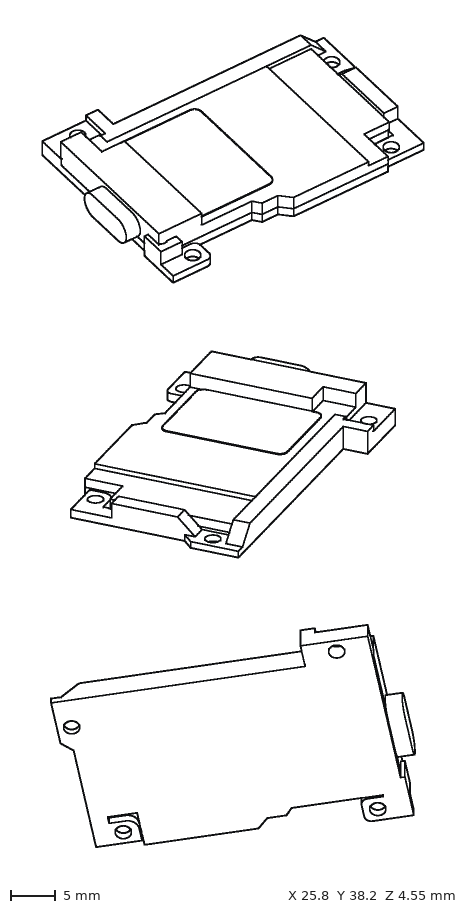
import cadquery as cq

floor_top = 1.15
ear_thin = 1.05
rear_left_ear_top = 0.8
front_left_ear_top = 2.05
deck_top = 2.83
rear_deck_top = 2.25
label_top = 2.95
lug_top = 2.95
connector_top = 4.55

rail_left = 2.95
rail_right = 4.97
pocket_right = 3.7
module_left = 3.55
connector_right = 22.37
step_right = 23.3
module_right = 24.55
notch_left = 19.95
part_right = 25.8

front = 1.9
rail_front = 7.23
ear_pocket_rear = 7.88
ear_rear = 9.52
connector_rear = 7.75
notch_front = 31.62
module_rear = 35.05
rear_edge = 36.98
part_rear = 38.25

screw_hole_diameter = 1.8
screw_holes = [(1.53, 5.7), (24.25, 5.2), (6.75, 36.6), (22.37, 33.6)]
rear_corner_x = 8.75
lip_ramp_top_x = 10.9
lip_right = 18.93
rear_ear_left = 20.85
rear_ear_right = 23.9
rear_ear_front = 31.78
rear_ear_inner = 34.95
rear_ear_radius = 1.3
front_ear_left = 22.6
front_ear_rear = 6.9
front_ear_radius = 0.8
lug_left = 20.3
lug_right = 23.48
lug_front = 1.4
lug_rear = 4.3
lug_hole_diameter = 1.0
lug_hole = (22.05, 2.6)

side_step_ys = (14.6, 15.35, 17.5, 18.75)
rear_step_y = 29.0
connector_notch_right = 7.55
connector_notch_front = 4.7
label_left = 6.08
label_right = 21.25
label_rear = 18.65
label_radius = 0.9
plug_left = 10.8
plug_right = 18.8
plug_bottom = 0.75
plug_height = 3.2


def block(x0, x1, y0, y1, z0, z1):
    """Rectangular block between two limits on each axis."""
    return cq.Workplane("XY").box(x1 - x0, y1 - y0, z1 - z0, centered=False).translate((x0, y0, z0))


def prism(points, z0, z1):
    """Vertical prism on a closed outline."""
    return cq.Workplane("XY").workplane(offset=z0).polyline(points).close().extrude(z1 - z0)


def module_outline():
    """Plan of the module beside the rail, shared with the floor under it."""
    return [
        (pocket_right, front),
        (connector_right, front),
        (connector_right, side_step_ys[0]),
        (step_right, side_step_ys[1]),
        (step_right, side_step_ys[2]),
        (module_right, side_step_ys[3]),
        (module_right, notch_front),
        (notch_left, notch_front),
        (notch_left, module_rear),
        (rail_right, module_rear),
        (rail_right, rail_front),
        (pocket_right, rail_front),
    ]


def make_module():
    body = prism(module_outline(), floor_top, deck_top)
    body = body.cut(block(0, part_right, rear_step_y, part_rear, rear_deck_top, deck_top))

    body = body.union(block(module_left, pocket_right, front, rail_front, front_left_ear_top, deck_top))
    connector = block(module_left, connector_right, front, connector_rear, deck_top, connector_top)
    connector = connector.cut(block(module_left, connector_notch_right, connector_notch_front,
                                    connector_rear, deck_top, connector_top))
    body = body.union(connector)

    label = block(label_left, label_right, connector_rear, label_rear, deck_top, label_top)
    body = body.union(label.edges("|Z").fillet(label_radius))

    plug = (
        cq.Workplane("XZ", origin=((plug_left + plug_right) / 2, front, plug_bottom + plug_height / 2))
        .slot2D(plug_right - plug_left, plug_height)
        .extrude(front)
    )
    return body.union(plug)


def make_rail():
    """Left rail with a sloped rear end."""
    rail = block(rail_left, rail_right, rail_front, module_rear, 0, deck_top)
    slope = (
        cq.Workplane("YZ", origin=(rail_left, 0, 0))
        .polyline([
            (module_rear, 0),
            (module_rear + deck_top - rear_left_ear_top, rear_left_ear_top),
            (module_rear, deck_top),
        ])
        .close()
        .extrude(rail_right - rail_left)
    )
    return rail.union(slope)


def make_rear_end():
    """Rear ears and the raised lip between them."""
    left_ear = prism([
        (rail_left, module_rear),
        (rail_left, part_rear),
        (rear_corner_x, part_rear),
        (rear_corner_x + part_rear - rear_edge, rear_edge),
        (rear_corner_x + part_rear - rear_edge, module_rear),
    ], 0, rear_left_ear_top)
    lip = (
        cq.Workplane("XZ", origin=(0, rear_edge, 0))
        .polyline([
            (rear_corner_x, 0),
            (rear_corner_x, rear_left_ear_top),
            (lip_ramp_top_x, deck_top),
            (lip_right, deck_top),
            (lip_right, 0),
        ])
        .close()
        .extrude(rear_edge - module_rear)
    )
    right_strip = block(lip_right, rear_ear_left, module_rear, rear_edge, 0, ear_thin)
    notch_strip = block(notch_left, rear_ear_left, rear_ear_inner, module_rear, 0, ear_thin)
    right_ear = block(rear_ear_left, rear_ear_right, rear_ear_front, rear_edge, 0, ear_thin)
    right_ear = right_ear.edges("|Z and <X and <Y").fillet(rear_ear_radius)
    return left_ear.union(lip).union(right_strip).union(notch_strip).union(right_ear)


def make_front_right_lug():
    """Thin ear beside a raised lug that wraps the module's front-right corner."""
    ear = block(front_ear_left, part_right, lug_front, front_ear_rear, 0, ear_thin)
    ear = ear.edges("|Z and >Y").fillet(front_ear_radius)
    lug = block(lug_left, lug_right, lug_front, lug_rear, 0, lug_top)
    lug_bore = (
        cq.Workplane("XY", origin=(*lug_hole, floor_top))
        .circle(lug_hole_diameter / 2)
        .extrude(lug_top - floor_top)
    )
    return ear.union(lug.cut(lug_bore))


def make_base(module):
    body = prism(module_outline(), 0, floor_top)
    body = body.union(make_rail())

    body = body.union(block(0, pocket_right, front, ear_pocket_rear, 0, front_left_ear_top))
    body = body.union(block(0, rail_right, ear_pocket_rear, ear_rear, 0, deck_top))
    body = body.union(block(pocket_right, rail_right, rail_front, ear_pocket_rear, 0, deck_top))

    body = body.cut(block(0, pocket_right, front, ear_pocket_rear, front_left_ear_top, deck_top))

    body = body.union(make_rear_end()).union(make_front_right_lug())

    holes = (
        cq.Workplane("XY")
        .pushPoints(screw_holes)
        .circle(screw_hole_diameter / 2)
        .extrude(deck_top)
    )
    return body.cut(holes).cut(module)


module = make_module()
base = make_base(module)

result = cq.Compound.makeCompound([base.solids().val(), module.solids().val()])